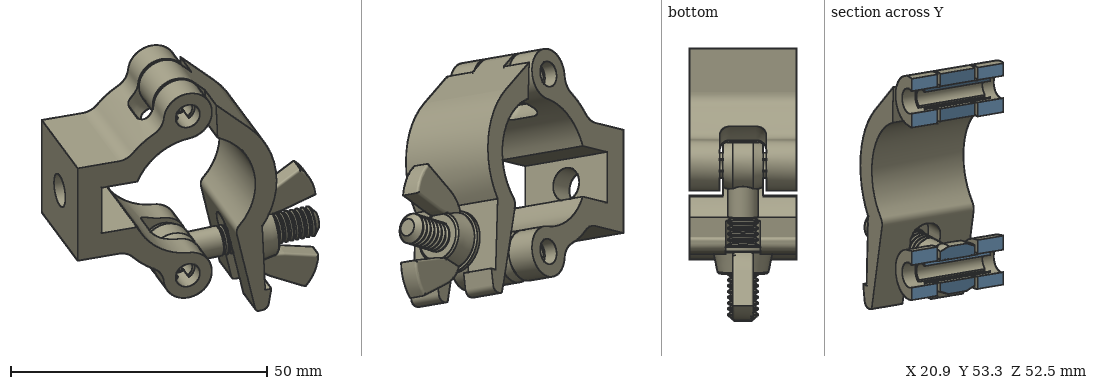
import cadquery as cq
import math


width = 20.9
bore_radius = 12.75
shell_radius = 17.15
knuckle_radius = 5.0
pin_radius = 2.5
pin_offset_y = -1.25
pin_distance = bore_radius + knuckle_radius
pin_z = math.sqrt(pin_distance**2 - pin_offset_y**2)
tongue_width = 7.9
knuckle_top_angle = 45.0
knuckle_free_angle = 165.0
closing_tilt = 2.5

base_back = 24.1
block_half_height = 10.3
channel_half_height = 5.05
block_wall = 5.0
blend_radius = 4.0
clevis_gap = 9.1
clevis_radius = 8.2
clevis_corner_radius = 2.0
mount_hole_diameter = 6.6

arm_back = 15.75
arm_front = 11.65
arm_front_taper = 10.0
hook_step = 6.9
hook_reach = 17.05
hook_lean = 12.0
arm_end = 11.3
nose_radius = 2.0
hook_back_radius = 1.5
hook_front_radius = 0.75
bolt_slot_width = 6.8
bolt_slot_top = 2.5
tongue_clearance = 5.9

pin_inner_radius = 1.95
pin_length = 15.0
pin_gap_angle = 60.0

eye_chamfer_width = 1.9
eye_chamfer_depth = 0.75
eye_flat = 4.5
shank_radius = 3.0
shank_end = 10.1
bolt_length = 30.4
tip_radius = 1.7
tip_chamfer = 1.15
thread_root_radius = 2.5
groove_count = 17
thread_crest = 0.15
thread_root = 0.35

washer_radius = 6.2
washer_thickness = 0.8
washer_hole_radius = 3.2
nut_height = 4.6
nut_base_radius = 5.85
nut_top_radius = 4.95
nut_edge = 0.35
wing_thickness = 4.1
wing_edge = 0.5
wing_foot = 3.5
wing_root_outer = (16.75, 5.95)
wing_bend_outer = (20.05, 9.45)
wing_tip_outer = (26.9, 13.28)
wing_tip_middle = (28.95, 10.5)
wing_tip_inner = (29.95, 6.75)
wing_bend_inner = (22.9, 4.75)
wing_root_inner = (21.15, 4.45)
nut_seat = arm_back + washer_thickness
nut_top = nut_seat + nut_height


def polar(center, radius, degrees):
    """Point on a circle, the angle measured from +Y towards +Z."""
    angle = math.radians(degrees)
    return (center[0] + radius * math.cos(angle), center[1] + radius * math.sin(angle))


def along(start, end, distance):
    """Point at a distance from start on the way to end."""
    ratio = distance / math.dist(start, end)
    return (start[0] + ratio * (end[0] - start[0]), start[1] + ratio * (end[1] - start[1]))


def arc_middle(center, start, end):
    """Middle of the shorter arc from start to end."""
    chord_middle = ((start[0] + end[0]) / 2, (start[1] + end[1]) / 2)
    return along(center, chord_middle, math.dist(center, start))


pipe_center = (0.0, 0.0)
upper_pin = (pin_offset_y, pin_z)
lower_pin = (pin_offset_y, -pin_z)
pin_angle = math.degrees(math.atan2(pin_z, pin_offset_y))
knuckle_touch = along(pipe_center, upper_pin, bore_radius)


def bolt_point(axial, radial):
    """Point (Y, Z) given along and across the tilted bolt axis from the lower pin."""
    tilt = math.radians(closing_tilt)
    return (
        lower_pin[0] + axial * math.cos(tilt) - radial * math.sin(tilt),
        lower_pin[1] + axial * math.sin(tilt) + radial * math.cos(tilt),
    )


def bolt_frame(point):
    """Distances along and across the bolt axis of a point (Y, Z)."""
    tilt = math.radians(closing_tilt)
    dy = point[0] - lower_pin[0]
    dz = point[1] - lower_pin[1]
    return (dy * math.cos(tilt) + dz * math.sin(tilt), dz * math.cos(tilt) - dy * math.sin(tilt))


def place_on_bolt_axis(body):
    """Move a body built along +Y from the origin onto the tilted bolt axis."""
    return body.rotate((0, 0, 0), (1, 0, 0), closing_tilt).translate((0, *lower_pin))


def rod(center, radius, length):
    """Cylinder along X, centred on X = 0."""
    return cq.Workplane("YZ").center(*center).circle(radius).extrude(length / 2, both=True)


def fillet_near(body, point, radius):
    """Round the edge along X that passes nearest to a point (Y, Z)."""
    near = cq.selectors.NearestToPointSelector((0, *point))
    return body.newObject([body.edges("|X").edges(near).val()]).fillet(radius)


def build_base():
    knuckle_reach = knuckle_radius + blend_radius
    shell_reach = shell_radius + blend_radius
    cosine = (pin_distance**2 + shell_reach**2 - knuckle_reach**2) / (2 * pin_distance * shell_reach)
    knuckle_blend = polar(pipe_center, shell_reach, pin_angle + math.degrees(math.acos(cosine)))
    blend_on_knuckle = along(upper_pin, knuckle_blend, knuckle_radius)
    blend_on_shell = along(pipe_center, knuckle_blend, shell_radius)

    block_blend_z = block_half_height + blend_radius
    block_blend = (-math.sqrt(shell_reach**2 - block_blend_z**2), block_blend_z)
    shell_end = along(pipe_center, block_blend, shell_radius)
    block_start = (block_blend[0], block_half_height)

    channel_mouth = (-math.sqrt(bore_radius**2 - channel_half_height**2), channel_half_height)
    channel_end = block_wall - base_back

    half = (
        cq.Workplane("YZ")
        .moveTo(channel_end, 0)
        .lineTo(channel_end, channel_half_height)
        .lineTo(*channel_mouth)
        .threePointArc(arc_middle(pipe_center, channel_mouth, knuckle_touch), knuckle_touch)
        .threePointArc(polar(upper_pin, knuckle_radius, knuckle_top_angle), blend_on_knuckle)
        .threePointArc(arc_middle(knuckle_blend, blend_on_knuckle, blend_on_shell), blend_on_shell)
        .threePointArc(arc_middle(pipe_center, blend_on_shell, shell_end), shell_end)
        .threePointArc(arc_middle(block_blend, shell_end, block_start), block_start)
        .lineTo(-base_back, block_half_height)
        .lineTo(-base_back, 0)
        .close()
        .extrude(width / 2, both=True)
    )
    base = half.union(half.mirror("XY"))

    for pin in (upper_pin, lower_pin):
        pocket = rod(pin, clevis_radius, clevis_gap).faces("<X or >X").edges().fillet(clevis_corner_radius)
        base = base.cut(pocket).cut(rod(pin, pin_radius, width))
    mount_hole = cq.Workplane("XZ").circle(mount_hole_diameter / 2).extrude(base_back)
    return base.cut(mount_hole)


def build_arm():
    flank_angle = pin_angle - math.degrees(math.acos((shell_radius - knuckle_radius) / pin_distance))
    flank_on_knuckle = polar(upper_pin, knuckle_radius, flank_angle)
    flank_on_shell = polar(pipe_center, shell_radius, flank_angle)

    center_axial, center_radial = bolt_frame(pipe_center)
    back_drop = math.sqrt(shell_radius**2 - (arm_back - center_axial) ** 2)
    back_top = bolt_point(arm_back, center_radial - back_drop)

    taper = math.radians(arm_front_taper)
    front_offset = (arm_front - center_axial) * math.cos(taper) - center_radial * math.sin(taper)
    front_run = math.sqrt(bore_radius**2 - front_offset**2)
    nose = bolt_point(
        center_axial + front_offset * math.cos(taper) + front_run * math.sin(taper),
        center_radial + front_offset * math.sin(taper) - front_run * math.cos(taper),
    )
    front_end = bolt_point(arm_front + arm_end * math.tan(taper), -arm_end)
    hook_taper = (arm_end - hook_step) * math.tan(math.radians(hook_lean))
    hook_end = bolt_point(hook_reach - hook_taper, -arm_end)

    arm = (
        cq.Workplane("YZ")
        .moveTo(*knuckle_touch)
        .threePointArc(polar(upper_pin, knuckle_radius, knuckle_free_angle), flank_on_knuckle)
        .lineTo(*flank_on_shell)
        .threePointArc(arc_middle(pipe_center, flank_on_shell, back_top), back_top)
        .lineTo(*bolt_point(arm_back, -hook_step))
        .lineTo(*bolt_point(hook_reach, -hook_step))
        .lineTo(*hook_end)
        .lineTo(*front_end)
        .lineTo(*nose)
        .threePointArc((bore_radius, 0), knuckle_touch)
        .close()
        .extrude(width / 2, both=True)
    )
    arm = fillet_near(arm, nose, nose_radius)
    arm = fillet_near(arm, hook_end, hook_back_radius)
    arm = fillet_near(arm, front_end, hook_front_radius)

    side_width = (width - tongue_width) / 2
    for side in (-1, 1):
        relief = (
            cq.Workplane("XY")
            .box(side_width, 2 * pin_z, pin_z)
            .translate((side * (tongue_width + side_width) / 2, tongue_clearance - pin_z, 0))
            .rotate((0, 0, 0), (1, 0, 0), closing_tilt)
            .translate((0, *upper_pin))
        )
        arm = arm.cut(relief)

    slot = (
        cq.Workplane("XZ")
        .center(0, bolt_slot_top)
        .circle(bolt_slot_width / 2)
        .extrude(-2 * arm_back)
        .union(
            cq.Workplane("XY")
            .box(bolt_slot_width, 2 * arm_back, 2 * arm_end, centered=(True, False, False))
            .translate((0, 0, bolt_slot_top - 2 * arm_end))
        )
    )
    return arm.cut(place_on_bolt_axis(slot)).cut(rod(upper_pin, pin_radius, width))


def build_spring_pin(center):
    axis = (0.0, 0.0)
    gap_reach = 2 * pin_radius
    gap_sides = [polar(axis, gap_reach, -90 + sign * pin_gap_angle / 2) for sign in (-1, 1)]
    gap = (
        cq.Workplane("YZ")
        .polyline([axis, *gap_sides])
        .close()
        .extrude(pin_length / 2, both=True)
    )
    tube = rod(axis, pin_radius, pin_length).cut(rod(axis, pin_inner_radius, pin_length))
    return tube.cut(gap).translate((0, *center))


def build_eye_bolt():
    half_width = tongue_width / 2
    rim_radius = knuckle_radius - eye_chamfer_depth
    shoulder = half_width - eye_chamfer_width
    eye = (
        cq.Workplane("XY")
        .moveTo(-half_width, 0)
        .lineTo(-half_width, rim_radius)
        .lineTo(-shoulder, knuckle_radius)
        .lineTo(shoulder, knuckle_radius)
        .lineTo(half_width, rim_radius)
        .lineTo(half_width, 0)
        .close()
        .revolve(360, (0, 0, 0), (1, 0, 0))
    )
    flat_cut = (
        cq.Workplane("XY")
        .box(width, knuckle_radius, 2 * knuckle_radius)
        .translate((0, -eye_flat - knuckle_radius / 2, 0))
    )
    eye = eye.cut(flat_cut)

    thread_end = bolt_length - tip_chamfer
    pitch = (thread_end - shank_end) / groove_count
    flank = (pitch - thread_crest - thread_root) / 2
    outline = [(0, 0), (shank_radius, 0)]
    for index in range(groove_count):
        groove = shank_end + index * pitch
        outline += [
            (shank_radius, groove),
            (thread_root_radius, groove + flank),
            (thread_root_radius, groove + flank + thread_root),
            (shank_radius, groove + 2 * flank + thread_root),
        ]
    outline += [(shank_radius, thread_end), (tip_radius, bolt_length), (0, bolt_length)]
    shank = cq.Workplane("XY").polyline(outline).close().revolve(360, (0, 0, 0), (0, 1, 0))

    bolt = eye.union(shank).cut(rod((0, 0), pin_radius, width))
    return place_on_bolt_axis(bolt)


def build_washer():
    washer = (
        cq.Workplane("XZ", origin=(0, arm_back, 0))
        .circle(washer_radius)
        .circle(washer_hole_radius)
        .extrude(-washer_thickness)
    )
    return place_on_bolt_axis(washer)


def build_wing_nut():
    body = (
        cq.Workplane("XY")
        .polyline([(0, nut_seat), (nut_base_radius, nut_seat), (nut_top_radius, nut_top), (0, nut_top)])
        .close()
        .revolve(360, (0, 0, 0), (0, 1, 0))
        .faces("<Y or >Y")
        .edges()
        .chamfer(nut_edge)
    )
    wing = (
        cq.Workplane("YZ")
        .moveTo(*wing_tip_outer)
        .lineTo(*wing_bend_outer)
        .tangentArcPoint(wing_root_outer, relative=False)
        .lineTo(wing_root_outer[0], wing_foot)
        .lineTo(wing_root_inner[0], wing_foot)
        .lineTo(*wing_root_inner)
        .lineTo(*wing_bend_inner)
        .lineTo(*wing_tip_inner)
        .threePointArc(wing_tip_middle, wing_tip_outer)
        .close()
        .extrude(wing_thickness / 2, both=True)
        .faces("<X or >X")
        .edges()
        .fillet(wing_edge)
    )
    nut = body.union(wing).union(wing.mirror("XY"))
    hole = cq.Workplane("XZ").circle(shank_radius).extrude(-bolt_length)
    return place_on_bolt_axis(nut.cut(hole))


base = build_base()
arm = build_arm()
spring_pins = [build_spring_pin(center) for center in (upper_pin, lower_pin)]
eye_bolt = build_eye_bolt()
washer = build_washer()
wing_nut = build_wing_nut()

result = cq.Compound.makeCompound(
    [base.val(), arm.val(), *[pin.val() for pin in spring_pins], eye_bolt.val(), washer.val(), wing_nut.val()]
)